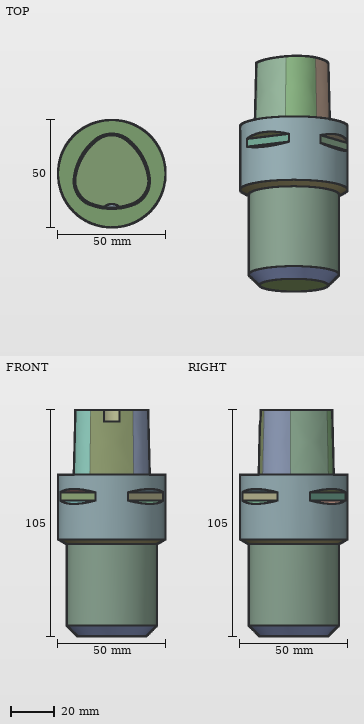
import cadquery as cq
import math

total_height = 105
collar_radius = 50.0 / 2
body_radius = 42 / 2

collar_top = 75.0
collar_bottom = 45.0
bottom_chamfer_height = 5.0
bottom_chamfer_width = 5.0
collar_cone_slope = 30
collar_cone_height = (collar_radius - body_radius) * math.tan(math.radians(collar_cone_slope))

lobe_reach = 18.6
side_reach = 16.4
joint_reach = 17.6
lobe_half_angle = 25
lobe_count = 3
lobe_pitch = 360 / lobe_count
first_lobe_angle = 90
shank_taper = math.degrees(math.atan(1 / 40))

notch_radius = 5.2
notch_inner_y = -14.1
notch_depth = 5.5

groove_count = 4
groove_floor = 22.2
groove_floor_height = 3.7
groove_center_z = 64.9
groove_flank_angle = 30


def polar(radius, angle):
    """Point at a distance from the axis and an angle in degrees."""
    return (radius * math.cos(math.radians(angle)), radius * math.sin(math.radians(angle)))


def turned_body():
    """Revolved body with bottom chamfer and collar."""
    profile = [
        (0, 0),
        (body_radius - bottom_chamfer_width, 0),
        (body_radius, bottom_chamfer_height),
        (body_radius, collar_bottom - collar_cone_height),
        (collar_radius, collar_bottom),
        (collar_radius, collar_top),
        (0, collar_top),
    ]
    return cq.Workplane("XZ").polyline(profile).close().revolve(360, (0, 0, 0), (0, 1, 0))


def shank():
    """Tapered polygon shank made of three tight lobe arcs and three flatter side arcs."""
    outline = cq.Workplane("XY", origin=(0, 0, collar_top))
    outline = outline.moveTo(*polar(joint_reach, first_lobe_angle - lobe_half_angle))
    for index in range(lobe_count):
        lobe_angle = first_lobe_angle + index * lobe_pitch
        lobe_end = lobe_angle + lobe_half_angle
        next_lobe_start = lobe_angle + lobe_pitch - lobe_half_angle
        outline = outline.threePointArc(polar(lobe_reach, lobe_angle), polar(joint_reach, lobe_end))
        outline = outline.threePointArc(
            polar(side_reach, lobe_angle + lobe_pitch / 2), polar(joint_reach, next_lobe_start)
        )
    return outline.close().extrude(total_height - collar_top, taper=shank_taper)


def key_notch():
    """Upright cylinder that cuts the notch into the -Y side of the shank."""
    plane = cq.Workplane("XY", origin=(0, notch_inner_y - notch_radius, total_height - notch_depth))
    return plane.circle(notch_radius).extrude(notch_depth)


def gripper_groove(angle):
    """Straight groove with a flat floor and sloping flanks, turned about the axis."""
    inner_half = groove_floor_height / 2
    flank_run = collar_radius - groove_floor
    outer_half = inner_half + flank_run * math.tan(math.radians(groove_flank_angle))
    section = [
        (groove_floor, groove_center_z - inner_half),
        (collar_radius, groove_center_z - outer_half),
        (collar_radius, groove_center_z + outer_half),
        (groove_floor, groove_center_z + inner_half),
    ]
    groove = cq.Workplane("XZ").polyline(section).close().extrude(collar_radius, both=True)
    return groove.rotate((0, 0, 0), (0, 0, 1), angle)


result = turned_body().union(shank()).cut(key_notch())
groove_pitch = 360 / groove_count
for groove_index in range(groove_count):
    result = result.cut(gripper_groove((groove_index + 0.5) * groove_pitch))